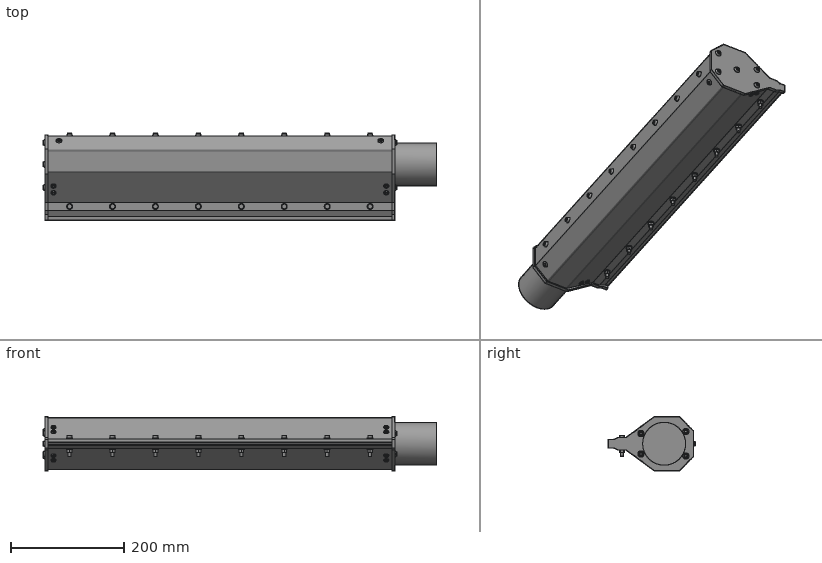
import cadquery as cq
import math

TOTAL_LENGTH = 697.0
HOUSING_LENGTH = 620.0
PLATE_THICKNESS = 5.5
BUTTON_HEAD_HEIGHT = 3.5
SKIN_HEAD_HEIGHT = 2.0
REAR_HEAD_HEIGHT = 5.0
TUBE_DIAMETER = 76.0

BACK_Y = 52.0
FRONT_Y = -99.0
PLATE_HALF_HEIGHT = 48.0
PLATE_REAR_HALF_HEIGHT = 22.0
PLATE_TOP_REAR_Y = 27.0
PLATE_TOP_FRONT_Y = -17.5
PLATE_LIP_HALF_HEIGHT = 11.0
PLATE_TIP_HALF_HEIGHT = 8.0
PLATE_TIP_Y = -89.0

SKIN_INSET = 2.0
BODY_BACK_Y = BACK_Y - SKIN_INSET
BODY_HALF_HEIGHT = PLATE_HALF_HEIGHT - SKIN_INSET
BODY_REAR_HALF_HEIGHT = 21.0
BODY_TOP_REAR_Y = 24.5
BODY_TOP_FRONT_Y = -14.0
LIP_HALF_HEIGHT = 8.5
NOSE_HALF_HEIGHT = 3.0
LIP_REAR_Y = -67.5
LIP_FRONT_Y = -81.5
BEND_RADIUS = 3.0
NOSE_Y = -93.0
SLOT_HEIGHT = 2.0
SLOT_DEPTH = 14.0

BOLT_COUNT = 8
BOLT_PITCH = 76.0
BOLT_Y = (LIP_REAR_Y + LIP_FRONT_Y) / 2
CAP_HEAD_DIAMETER = 8.5
CAP_HEAD_HEIGHT = 4.0
WASHER_DIAMETER = 10.5
WASHER_THICKNESS = 2.0
NUT_ACROSS_FLATS = 8.5
NUT_HEIGHT = 5.0
BOLT_DIAMETER = 5.5
BOLT_END_Z = -22.0

BUTTON_TOP_DIAMETER = 7.0
SOCKET_ACROSS_FLATS = 4.0
SOCKET_DEPTH = 1.5
SEATING = 1.5
PLATE_SCREW_DIAMETER = 11.0
FLANK_SCREW_DIAMETER = 9.0
REAR_SCREW_DIAMETER = 10.5
PLATE_SCREWS = [(38.0, 21.5), (38.0, -21.5), (-41.0, 18.0), (-41.0, -18.0)]
FLANK_SCREW_YS = [-38.0, -50.0]
FLANK_SCREW_INSET = 15.0
CHAMFER_SCREW_Y = 42.0
CHAMFER_SCREW_INSET = 25.0

SIDES = (1, -1)


def mirrored_prism(upper_half, start_x, length):
    """Prism along X whose YZ outline is symmetric about Z = 0."""
    lower_half = [(y, -z) for y, z in reversed(upper_half)]
    outline = cq.Workplane("YZ", origin=(start_x, 0, 0)).polyline(upper_half + lower_half)
    return outline.close().extrude(length)


def hexagon(across_flats, height):
    """Hexagonal prism standing on the XY plane, with two corners on X."""
    corner_diameter = across_flats / math.cos(math.pi / 6)
    return cq.Workplane("XY").polygon(6, corner_diameter).extrude(height)


def button_head(seat, normal, diameter, height=BUTTON_HEAD_HEIGHT):
    """Tapered screw head with a hexagon socket, standing on `seat` along `normal`."""
    x_direction = (1, 0, 0) if normal[0] == 0 else (0, 1, 0)
    plane = cq.Plane(origin=seat, xDir=x_direction, normal=normal)
    profile = [
        (0, -SEATING),
        (diameter / 2, -SEATING),
        (diameter / 2, 0),
        (BUTTON_TOP_DIAMETER / 2, height),
        (0, height),
    ]
    head = cq.Workplane("XZ").polyline(profile).close().revolve(360, (0, 0, 0), (0, 1, 0))
    socket = hexagon(SOCKET_ACROSS_FLATS, SOCKET_DEPTH)
    head = head.cut(socket.translate((0, 0, height - SOCKET_DEPTH)))
    return cq.Workplane(obj=head.val().moved(cq.Location(plane)))


def face_seat(x, y, start, end):
    """Point and outward normal at `y` on the sloping face from `start` to `end` in YZ."""
    run = end[0] - start[0]
    rise = end[1] - start[1]
    length = math.hypot(run, rise)
    z = start[1] + rise * (y - start[0]) / run
    return (x, y, z), (0, rise / length, -run / length)


body_upper = [
    (BODY_BACK_Y, BODY_REAR_HALF_HEIGHT),
    (BODY_TOP_REAR_Y, BODY_HALF_HEIGHT),
    (BODY_TOP_FRONT_Y, BODY_HALF_HEIGHT),
    (LIP_REAR_Y, LIP_HALF_HEIGHT),
    (LIP_FRONT_Y, LIP_HALF_HEIGHT),
    (NOSE_Y, NOSE_HALF_HEIGHT),
    (FRONT_Y, NOSE_HALF_HEIGHT),
]
result = mirrored_prism(body_upper, 0, HOUSING_LENGTH)
result = result.faces(">Z or <Z").edges("|X").fillet(BEND_RADIUS)
slot = cq.Workplane("XY").box(HOUSING_LENGTH, SLOT_DEPTH, SLOT_HEIGHT, centered=(False, False, True))
result = result.cut(slot.translate((0, FRONT_Y, 0)))

plate_upper = [
    (BACK_Y, PLATE_REAR_HALF_HEIGHT),
    (PLATE_TOP_REAR_Y, PLATE_HALF_HEIGHT),
    (PLATE_TOP_FRONT_Y, PLATE_HALF_HEIGHT),
    (LIP_REAR_Y, PLATE_LIP_HALF_HEIGHT),
    (LIP_FRONT_Y, PLATE_LIP_HALF_HEIGHT),
    (PLATE_TIP_Y, PLATE_TIP_HALF_HEIGHT),
    (FRONT_Y, PLATE_TIP_HALF_HEIGHT),
]
for plate_x in (0, HOUSING_LENGTH - PLATE_THICKNESS):
    result = result.union(mirrored_prism(plate_upper, plate_x, PLATE_THICKNESS))

tube_end_x = TOTAL_LENGTH - BUTTON_HEAD_HEIGHT
tube = cq.Workplane("YZ").circle(TUBE_DIAMETER / 2).extrude(tube_end_x - HOUSING_LENGTH)
result = result.union(tube.translate((HOUSING_LENGTH, 0, 0)))

for y, z in PLATE_SCREWS:
    result = result.union(button_head((0, y, z), (-1, 0, 0), PLATE_SCREW_DIAMETER))
    result = result.union(button_head((HOUSING_LENGTH, y, z), (1, 0, 0), PLATE_SCREW_DIAMETER))
result = result.union(button_head((0, 0, 0), (-1, 0, 0), PLATE_SCREW_DIAMETER))

rear_chamfer = (body_upper[0], body_upper[1])
front_flank = (body_upper[2], body_upper[3])
skin_screws = [(FLANK_SCREW_INSET, y, front_flank, FLANK_SCREW_DIAMETER) for y in FLANK_SCREW_YS]
skin_screws.append((CHAMFER_SCREW_INSET, CHAMFER_SCREW_Y, rear_chamfer, REAR_SCREW_DIAMETER))
for inset, y, face, diameter in skin_screws:
    for x in (inset, HOUSING_LENGTH - inset):
        seat, normal = face_seat(x, y, *face)
        for side in SIDES:
            mirrored_seat = (x, y, side * seat[2])
            mirrored_normal = (0, normal[1], side * normal[2])
            result = result.union(button_head(mirrored_seat, mirrored_normal, diameter, SKIN_HEAD_HEIGHT))

first_bolt_x = (HOUSING_LENGTH - (BOLT_COUNT - 1) * BOLT_PITCH) / 2
washer_top_z = LIP_HALF_HEIGHT + WASHER_THICKNESS
head_top_z = washer_top_z + CAP_HEAD_HEIGHT
cap_head = cq.Workplane("XY").circle(CAP_HEAD_DIAMETER / 2).extrude(head_top_z)
nut = hexagon(NUT_ACROSS_FLATS, -washer_top_z - NUT_HEIGHT)
nut = nut.rotate((0, 0, 0), (0, 0, 1), 90)
shank = cq.Workplane("XY").circle(BOLT_DIAMETER / 2).extrude(BOLT_END_Z)
washers = cq.Workplane("XY").circle(WASHER_DIAMETER / 2).extrude(washer_top_z, both=True)
bolt = cap_head.union(nut).union(shank).union(washers)
for index in range(BOLT_COUNT):
    x = first_bolt_x + index * BOLT_PITCH
    result = result.union(bolt.translate((x, BOLT_Y, 0)))
    rear_seat = (x, BODY_BACK_Y, 0)
    result = result.union(button_head(rear_seat, (0, 1, 0), REAR_SCREW_DIAMETER, REAR_HEAD_HEIGHT))